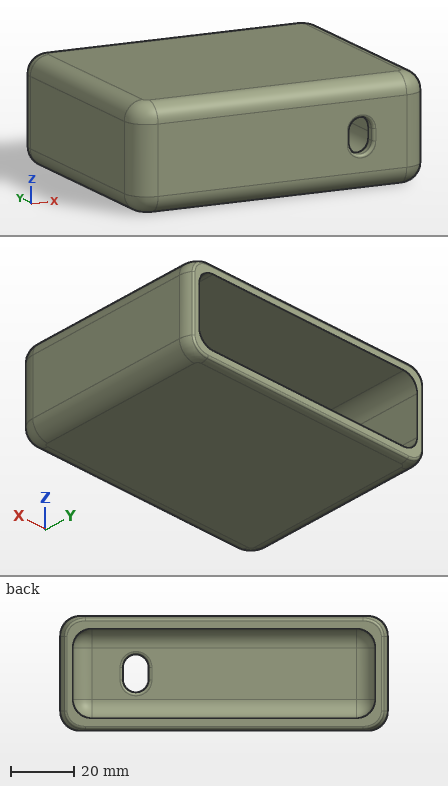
import cadquery as cq

width = 104.0
depth = 80.0
height = 36.5

corner_radius = 8.0
rim_radius = 6.5

block_depth = 83.1
back_rounding = 1.0

wall = 4.1
cavity_radius = 6.0

hole_width = 8.0
hole_height = 12.0
hole_x = 28.0
hole_rounding = 1.0

front_y = -depth / 2


def rounded_block(x_size, y_size, z_size, upright_radius, edge_radius):
    """Block with rounded uprights and rims, its front face at y = front_y."""
    block = cq.Workplane("XY", origin=(0, front_y, 0))
    block = block.box(x_size, y_size, z_size, centered=(True, False, True))
    block = block.edges("|Z").fillet(upright_radius)
    return block.faces("<Z or >Z").edges().fillet(edge_radius)


def outer_body():
    """Rounded block sliced flat at the back, with the sliced edge rounded."""
    block = rounded_block(width, block_depth, height, corner_radius, rim_radius)
    kept = cq.Workplane("XY").box(width, depth, height)
    return block.intersect(kept).faces(">Y").edges().fillet(back_rounding)


def cavity():
    """Rounded hollow that runs out past the sliced back."""
    hollow = rounded_block(
        width - 2 * wall,
        block_depth + cavity_radius,
        height - 2 * wall,
        cavity_radius,
        cavity_radius,
    )
    return hollow.translate((0, wall, 0))


def cut_cable_hole(body):
    """Upright slot through the front wall, rounded at both mouths."""
    slot = (
        cq.Workplane("XZ", origin=(hole_x, front_y, 0))
        .slot2D(hole_height, hole_width, 90)
        .extrude(-wall)
    )
    drilled = body.cut(slot)
    drilled = drilled.faces("<Y").edges("%CIRCLE").fillet(hole_rounding)
    inner_face = cq.selectors.NearestToPointSelector((0, front_y + wall, 0))
    return drilled.faces(inner_face).edges("%CIRCLE").fillet(hole_rounding)


result = cut_cable_hole(outer_body().cut(cavity()))